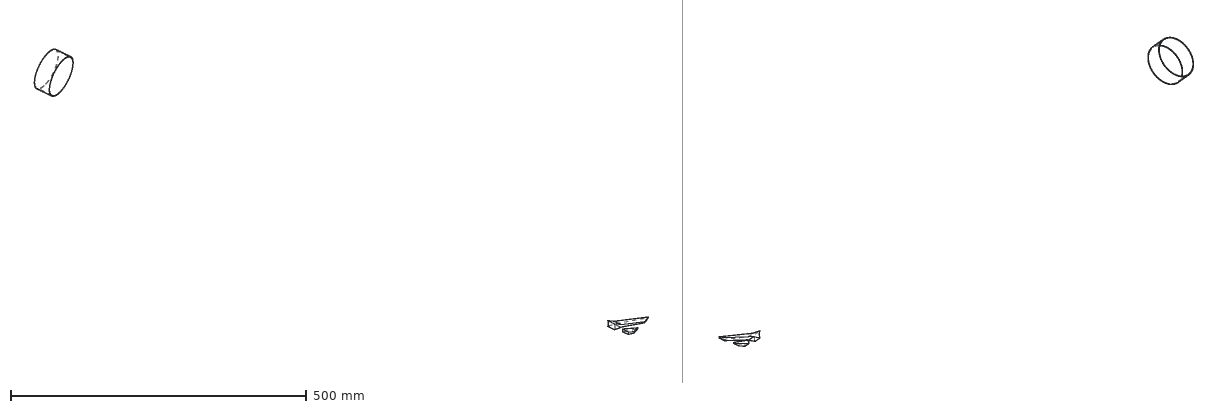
import cadquery as cq
import math

RING_RADIUS = 37.0
RING_WALL = 1.5
RING_WIDTH = 30.0

ROOT_HALF_THICKNESS = 4.0
TIP_HALF_THICKNESS = 1.0

LONG_HEEL_X = 1115.0
LONG_CHORD = 14.0
LONG_END_X = 1165.0
LONG_TOP_SET_BACK = 1.0
LONG_TOP_Y = 86.0

FOOT_HALF_WIDTH = 8.0
FOOT_HEIGHT = 7.0
FOOT_SINK = 2.0

SHORT_HEEL_X = 1144.0
SHORT_CHORD = 12.0
SHORT_END_X = 1163.0


def make_ring():
    return (
        cq.Workplane("YZ")
        .circle(RING_RADIUS)
        .circle(RING_RADIUS - RING_WALL)
        .extrude(RING_WIDTH)
    )


def blade_height(x, foot_x):
    """Y at x on a 45-degree edge that starts from the ring radius at foot_x."""
    return RING_RADIUS + x - foot_x


def make_blade(heel, toe, end, top):
    """Four-cornered blade in XY whose thickness in Z tapers evenly from heel to top."""
    slab = (
        cq.Workplane("XY")
        .polyline([heel, toe, end, top])
        .close()
        .extrude(ROOT_HALF_THICKNESS, both=True)
    )
    length = math.dist(heel, top)
    across = cq.Plane(origin=(*heel, 0), xDir=(1, 1, 0), normal=(1, -1, 0))
    taper = (
        cq.Workplane(across)
        .polyline([
            (0, -ROOT_HALF_THICKNESS),
            (length, -TIP_HALF_THICKNESS),
            (length, TIP_HALF_THICKNESS),
            (0, ROOT_HALF_THICKNESS),
        ])
        .close()
        .extrude(length, both=True)
    )
    return slab.intersect(taper).solids()


def make_foot():
    """Block leaning with the long fin, narrowing in Z as it rises, with a saddle underneath."""
    rise = FOOT_HEIGHT + FOOT_SINK
    base_x = LONG_HEEL_X + LONG_CHORD / 2 - FOOT_SINK
    base_y = RING_RADIUS - FOOT_SINK
    base = cq.Plane(origin=(base_x, base_y, 0), xDir=(1, 0, 0), normal=(0, 1, 0))
    block = (
        cq.Workplane(base)
        .rect(LONG_CHORD, 2 * FOOT_HALF_WIDTH)
        .workplane(offset=rise)
        .center(rise, 0)
        .rect(LONG_CHORD, 2 * ROOT_HALF_THICKNESS)
        .loft(ruled=True)
    )
    saddle_length = 2 * (LONG_CHORD + rise)
    saddle = (
        cq.Workplane("YZ")
        .workplane(offset=base_x - LONG_CHORD)
        .circle(RING_RADIUS)
        .extrude(saddle_length)
    )
    return block.cut(saddle)


def make_long_fin():
    toe_x = LONG_HEEL_X + LONG_CHORD
    blade = make_blade(
        heel=(LONG_HEEL_X, RING_RADIUS),
        toe=(toe_x, RING_RADIUS),
        end=(LONG_END_X, blade_height(LONG_END_X, toe_x)),
        top=(LONG_END_X - LONG_TOP_SET_BACK, LONG_TOP_Y),
    )
    return blade.union(make_foot()).solids()


def make_short_fin():
    toe_x = SHORT_HEEL_X + SHORT_CHORD
    return make_blade(
        heel=(SHORT_HEEL_X, RING_RADIUS),
        toe=(toe_x, RING_RADIUS),
        end=(SHORT_END_X, blade_height(SHORT_END_X, toe_x)),
        top=(SHORT_END_X, blade_height(SHORT_END_X, SHORT_HEEL_X)),
    )


ring = make_ring()
long_fin = make_long_fin()
short_fin = make_short_fin()

result = cq.Compound.makeCompound([ring.val(), long_fin.val(), short_fin.val()])